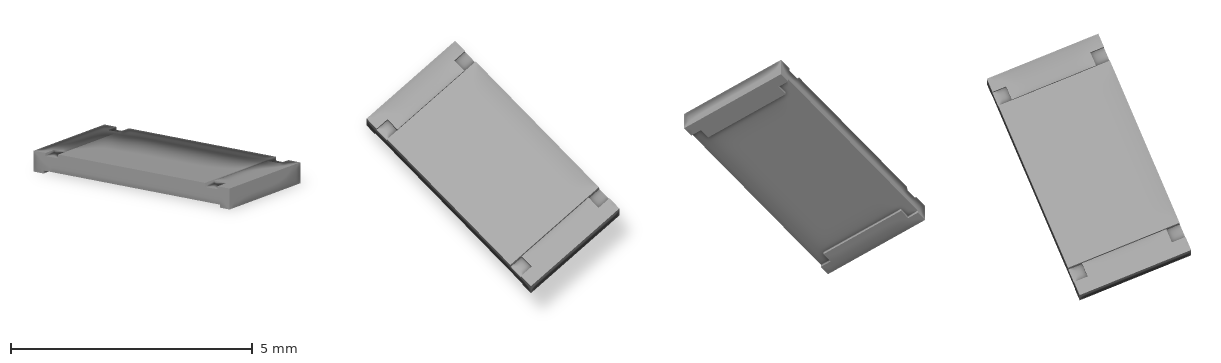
import cadquery as cq

length = 5.0
width = 2.5
height = 0.47

film_thickness = 0.085
plating_thickness = 0.065
end_cap_thickness = 0.075
core_height = height - film_thickness - plating_thickness

top_reach = 0.61
top_notch = top_reach / 2
bottom_reach = 0.5
bottom_notch = bottom_reach / 2

film_end_slope = 0.015
film_base_half = length / 2 - top_reach
film_top_half = film_base_half - film_end_slope

core_bottom = plating_thickness
core_top = core_bottom + core_height
terminal_top = core_top + plating_thickness


def block(x_size, y_size, z_size, x_center=0.0, z_bottom=0.0):
    """Box centred in Y, placed by its X centre and its underside."""
    return (
        cq.Workplane("XY")
        .box(x_size, y_size, z_size, centered=(True, True, False))
        .translate((x_center, 0, z_bottom))
    )


def plated_pad(side, reach, notch, z_bottom):
    """Pad along one end, with square notches in its two inner corners."""
    strip_length = reach - notch
    strip = block(strip_length, width, plating_thickness, side * (length - strip_length) / 2, z_bottom)
    tongue_center = side * (length / 2 - strip_length - notch / 2)
    tongue = block(notch, width - 2 * notch, plating_thickness, tongue_center, z_bottom)
    return strip.union(tongue, clean=False)


def terminal(side):
    """C-shaped end terminal: end cap with a top and a bottom pad."""
    cap_center = side * (length - end_cap_thickness) / 2
    cap = block(end_cap_thickness, width, terminal_top, cap_center)
    top_pad = plated_pad(side, top_reach, top_notch, core_top)
    bottom_pad = plated_pad(side, bottom_reach, bottom_notch, 0.0)
    return cap.union(top_pad).union(bottom_pad)


core = block(length - 2 * end_cap_thickness, width, core_height, z_bottom=core_bottom)
film_outline = [
    (-film_base_half, core_top),
    (film_base_half, core_top),
    (film_top_half, height),
    (-film_top_half, height),
]
film = cq.Workplane("XZ").polyline(film_outline).close().extrude(width / 2, both=True)
result = core.union(film, clean=False)

for end_side in (-1, 1):
    result = result.union(terminal(end_side), clean=False)

result = result.translate((0, 0, -height / 2))